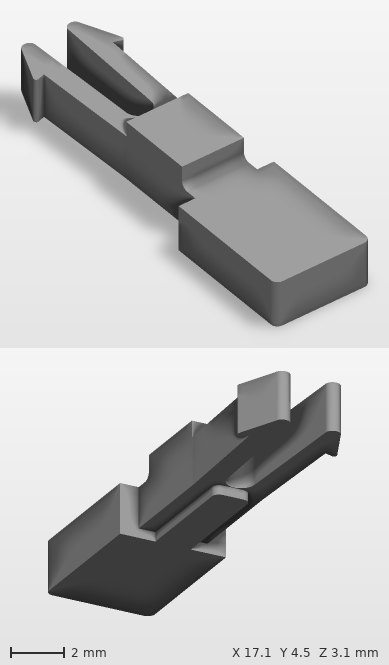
import cadquery as cq
import math

length = 17.1
head_width = 4.5
total_height = 3.1

shank_bottom = 0.4
head_top = 2.1
arm_top = 2.41

arm_root_x = 6.7
block_start_x = 6.8
block_end_x = 10.26
head_start_x = 11.08
shank_width = 2.92
edge_radius = 0.3

splay_angle = 2.0
splay = math.tan(math.radians(splay_angle))
slot_radius = 0.58
slot_end_x = 6.2
barb_root_x = 1.92
barb_point_x = 2.12
barb_point_y = 2.2
tip_outer_y = 1.28
tip_radius = 0.29
barb_radius = 0.12

key_start_x = 6.25
key_width = 1.5


def make_head():
    """Wide gripping head with rounded vertical edges at its free end."""
    head = cq.Workplane("XY").box(length - head_start_x, head_width, head_top, centered=(False, True, False))
    return head.translate((head_start_x, 0, 0)).edges("|Z and >X").fillet(edge_radius)


def make_shank():
    """Shank with a raised block that blends down to the level of the head."""
    profile = (
        cq.Workplane("XZ")
        .moveTo(arm_root_x, shank_bottom)
        .lineTo(head_start_x, shank_bottom)
        .lineTo(head_start_x, head_top)
        .lineTo(block_end_x + edge_radius, head_top)
        .radiusArc((block_end_x, head_top + edge_radius), edge_radius)
        .lineTo(block_end_x, total_height)
        .lineTo(block_start_x, total_height)
        .lineTo(block_start_x, arm_top)
        .lineTo(arm_root_x, arm_top)
        .close()
    )
    return profile.extrude(shank_width / 2, both=True)


def make_arm(side):
    """One barbed arm; side is +1 or -1 for the half of the fork it forms."""
    slot_centre_x = slot_end_x - slot_radius
    barb_root_y = shank_width / 2 + (arm_root_x - barb_root_x) * splay
    tip_inner_y = slot_radius + slot_centre_x * splay
    slot_middle = slot_radius * math.sqrt(0.5)
    arm = (
        cq.Workplane("XY")
        .workplane(offset=shank_bottom)
        .moveTo(arm_root_x, 0)
        .lineTo(arm_root_x, side * shank_width / 2)
        .lineTo(barb_root_x, side * barb_root_y)
        .lineTo(barb_point_x, side * barb_point_y)
        .lineTo(0, side * tip_outer_y)
        .lineTo(0, side * tip_inner_y)
        .lineTo(slot_centre_x, side * slot_radius)
        .threePointArc((slot_centre_x + slot_middle, side * slot_middle), (slot_end_x, 0))
        .close()
        .extrude(arm_top - shank_bottom)
    )
    arm = arm.edges("|Z and <X").fillet(tip_radius)
    barb_point = (barb_point_x, side * barb_point_y, arm_top)
    barb_edge = cq.selectors.NearestToPointSelector(barb_point)
    return arm.edges("|Z").edges(barb_edge).fillet(barb_radius)


def make_key():
    """Narrow key below the shank, rounded at the end facing the arms."""
    key = cq.Workplane("XY").box(head_start_x - key_start_x, key_width, shank_bottom, centered=(False, True, False))
    return key.translate((key_start_x, 0, 0)).edges("|Z and <X").fillet(edge_radius)


result = make_head().union(make_shank()).union(make_key())
for arm_side in (1, -1):
    result = result.union(make_arm(arm_side))